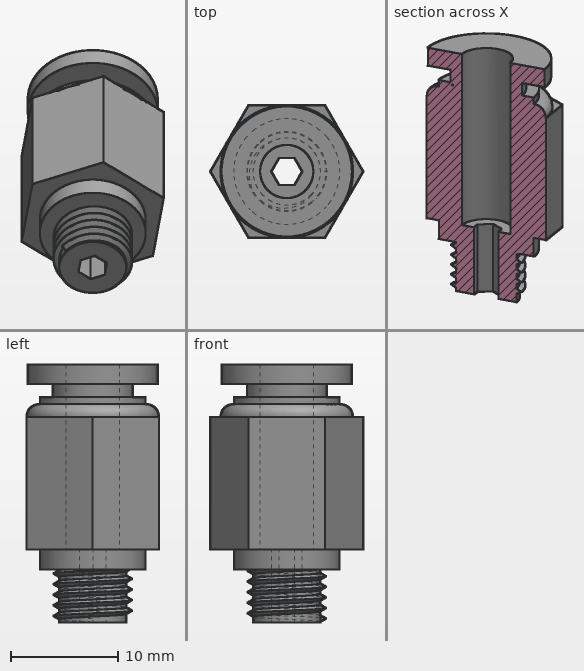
import cadquery as cq
import math

total_height = 24.15
hex_flats = 12.38
hex_height = 12.38

collar_diameter = 9.9
collar_height = 1.88
stub_diameter = 6.28
stub_height = 4.95

shoulder_height = 1.2
ring_height = 0.65
neck_diameter = 7.48
neck_height = 1.2
cap_diameter = 12.17

bore_diameter = 4.97
key_flats = 2.49

thread_diameter = 7.35
thread_pitch = 1.0
thread_turns = 5
thread_start = 0.39
thread_embed = 0.1
flank_angle = 30.0

collar_bottom = stub_height
body_bottom = collar_bottom + collar_height
body_top = body_bottom + hex_height
shoulder_top = body_top + shoulder_height
ring_top = shoulder_top + ring_height
cap_bottom = ring_top + neck_height


def cylinder(diameter, bottom, top):
    return cq.Workplane("XY").workplane(offset=bottom).circle(diameter / 2).extrude(top - bottom)


def hexagon(flats, bottom, top):
    corner_diameter = flats / math.cos(math.radians(30))
    return cq.Workplane("XY").workplane(offset=bottom).polygon(6, corner_diameter).extrude(top - bottom)


def rounded_shoulder():
    """Disc as wide as the body flats, with a full quarter-round upper edge."""
    return cylinder(hex_flats, body_bottom, shoulder_top).faces(">Z").edges().fillet(shoulder_height)


def thread():
    """Right-handed ridge with a sharp V profile, ending inside the collar."""
    root_radius = stub_diameter / 2 - thread_embed
    crest_radius = thread_diameter / 2
    half_base = (crest_radius - root_radius) * math.tan(math.radians(flank_angle))
    path = cq.Wire.makeHelix(
        thread_pitch, thread_turns * thread_pitch, root_radius, center=cq.Vector(0, 0, thread_start)
    )
    profile = cq.Workplane("XZ").polyline([
        (root_radius, thread_start - half_base),
        (crest_radius, thread_start),
        (root_radius, thread_start + half_base),
    ]).close()
    return profile.sweep(cq.Workplane(path), isFrenet=True)


stub = cylinder(stub_diameter, 0, collar_bottom).rotate((0, 0, 0), (0, 0, 1), 180)

result = (
    stub.union(thread())
    .union(cylinder(collar_diameter, collar_bottom, body_bottom))
    .union(hexagon(hex_flats, body_bottom, body_top))
    .union(rounded_shoulder())
    .union(cylinder(collar_diameter, body_top, ring_top))
    .union(cylinder(neck_diameter, ring_top, cap_bottom))
    .union(cylinder(cap_diameter, cap_bottom, total_height))
)

result = result.cut(cylinder(bore_diameter, body_bottom, total_height))
result = result.cut(hexagon(key_flats, 0, body_bottom))